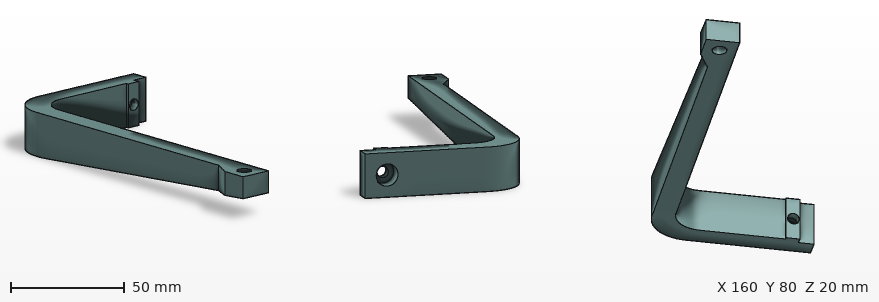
import cadquery as cq

length = 160.0
depth = 80.0
height = 20.0
bar = 10.0

outer_radius = 19.0
inner_radius = 13.0

pad_width = 15.0
pad_length = 12.0
pad_slope_start = 21.6
pad_hole_diameter = 6.4
pad_hole_inset = 7.5

step_thickness = 8.0
step_length = 7.0
lip_thickness = 11.2
lip_end = 13.3

cross_hole_diameter = 5.1
counterbore_diameter = 10.0
counterbore_depth = 7.0
cross_hole_inset = 10.0

tip_height = 10.0
taper_start = bar + inner_radius

pad_front = bar - pad_width
back = pad_front + depth


def leg(x_size, y_size, corner_radius):
    """Rectangular block from the origin with its corner edge at the origin rounded."""
    block = cq.Workplane("XY").box(x_size, y_size, height, centered=False)
    return block.edges("|Z and <X and <Y").fillet(corner_radius)


def bent_bar():
    """L-shaped bar of constant width with rounded inner and outer corners."""
    inside = leg(length, back, inner_radius).translate((bar, bar, 0))
    return leg(length, back, outer_radius).cut(inside)


def end_pad():
    """Sloped pad on the front of the long leg."""
    return (
        cq.Workplane("XY")
        .moveTo(length - pad_slope_start, 0)
        .lineTo(length - pad_length, pad_front)
        .lineTo(length, pad_front)
        .lineTo(length, bar)
        .lineTo(length - pad_slope_start, bar)
        .close()
        .extrude(height)
    )


def lip():
    """Raised lip on the inside of the short leg, next to the step."""
    return cq.Workplane("XY").box(lip_thickness, lip_end, height, centered=False).translate((0, back - lip_end, 0))


def end_step():
    """Material removed to thin the end of the short leg."""
    return (
        cq.Workplane("XY")
        .box(lip_thickness - step_thickness, step_length, height, centered=False)
        .translate((step_thickness, back - step_length, 0))
    )


def underside_taper():
    """Wedge below the long leg, leaving it thinner towards its tip."""
    return (
        cq.Workplane("XZ")
        .polyline([(taper_start, 0), (length, 0), (length, height - tip_height)])
        .close()
        .extrude(depth, both=True)
    )


def cross_hole():
    """Hole through the short leg along X, counterbored from its outer face."""
    face = cq.Workplane("YZ").center(back - cross_hole_inset, height / 2)
    bore = face.circle(cross_hole_diameter / 2).extrude(lip_thickness)
    return bore.union(face.circle(counterbore_diameter / 2).extrude(counterbore_depth))


def pad_hole():
    """Vertical hole through the pad."""
    return (
        cq.Workplane("XY")
        .center(length - pad_hole_inset, bar - pad_hole_inset)
        .circle(pad_hole_diameter / 2)
        .extrude(height)
    )


result = bent_bar().union(end_pad()).union(lip())
result = result.cut(end_step()).cut(underside_taper())
result = result.cut(cross_hole()).cut(pad_hole())